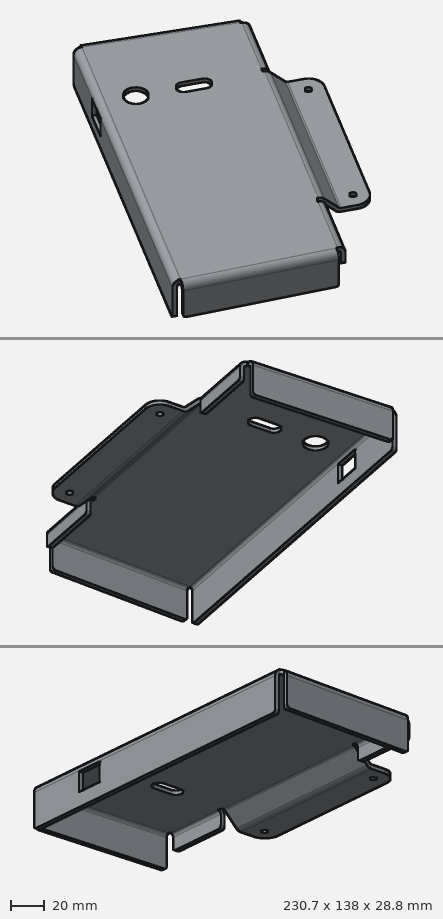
import cadquery as cq
import math

sheet = 3.0
inner_radius = 2.0
outer_radius = inner_radius + sheet

overall_width = 230.7
overall_depth = 138.0
front_height = 28.8

plate_front = outer_radius
plate_back = 102.7
hole_row_x = -59.0
round_hole_diameter = 15.2
round_hole_y = 24.2
slot_width = 9.0
slot_length = 22.0
slot_y = 60.0

splay_angle = 1.8
side_height = 25.8
side_front = 5.3
side_length = 96.7
side_bend_x = overall_width / 2 - outer_radius * math.cos(math.radians(splay_angle))

front_width = 221.5
window_width = 19.0
window_height = 13.4
window_x = -60.0
window_drop = 5.5

back_height = 14.0
back_inner_x = 63.0
back_outer_x = 106.8

tab_width = 120.0
tab_bend_start = 103.8
tab_bend_angle = 45.0
tab_drop = 11.0
tab_corner_radius = 10.0
tab_root_radius = tab_bend_start - plate_back
tab_hole_diameter = 4.2
tab_hole_spacing = 100.0
tab_hole_inset = 10.2

corner_radius = 2.0
corner_web_radius = 1.8


def flange(width, height):
    """Flange centred on x = 0, bent down from a bend line along y = 0 and facing -Y."""
    turn = math.sqrt(0.5)
    body = (
        cq.Workplane("YZ")
        .moveTo(0, 0)
        .threePointArc(
            (-outer_radius * turn, -outer_radius * (1 - turn)),
            (-outer_radius, -outer_radius),
        )
        .lineTo(-outer_radius, -height)
        .lineTo(-inner_radius, -height)
        .lineTo(-inner_radius, -outer_radius)
        .threePointArc(
            (-inner_radius * turn, -outer_radius + inner_radius * turn),
            (0, -sheet),
        )
        .close()
        .extrude(width / 2, both=True)
    )
    return body.faces("<Z").edges("|Y").fillet(corner_radius)


def top_plate():
    slope = math.tan(math.radians(splay_angle))
    front_half = side_bend_x + slope * (side_front - plate_front)
    back_half = side_bend_x - slope * (plate_back - side_front)
    return (
        cq.Workplane("XY")
        .polyline([
            (-front_half, plate_front),
            (front_half, plate_front),
            (back_half, plate_back),
            (-back_half, plate_back),
        ])
        .close()
        .extrude(-sheet)
    )


def left_side_flange(front_extension=0):
    splay = math.radians(splay_angle)
    to_middle = (side_length - front_extension) / 2
    centre = (
        -side_bend_x + to_middle * math.sin(splay),
        side_front + to_middle * math.cos(splay),
        0,
    )
    return (
        flange(side_length + front_extension, side_height)
        .rotate((0, 0, 0), (0, 0, 1), -90 - splay_angle)
        .translate(centre)
    )


def front_flange():
    window = (
        cq.Workplane("XY")
        .box(window_width, 2 * outer_radius, window_height)
        .translate((window_x, 0, -window_drop - window_height / 2))
    )
    return flange(front_width, front_height).translate((0, plate_front, 0)).cut(window)


def left_corner_web():
    """Concave web joining the front and left bends, following the surface of the left bend."""
    turn = math.sqrt(0.5)
    front_end_x = -front_width / 2
    arc_centre_x = front_end_x - corner_web_radius
    arc_centre_y = side_front - corner_web_radius
    prism = (
        cq.Workplane("XY")
        .moveTo(-side_bend_x, arc_centre_y)
        .lineTo(front_end_x, arc_centre_y)
        .threePointArc(
            (arc_centre_x + corner_web_radius * turn, arc_centre_y + corner_web_radius * turn),
            (arc_centre_x, side_front),
        )
        .lineTo(arc_centre_x, side_front + sheet)
        .lineTo(-side_bend_x, side_front + sheet)
        .close()
        .extrude(-outer_radius)
    )
    return prism.intersect(left_side_flange(front_extension=2 * corner_web_radius))


def right_back_flange():
    return (
        flange(back_outer_x - back_inner_x, back_height)
        .rotate((0, 0, 0), (0, 0, 1), 180)
        .translate(((back_inner_x + back_outer_x) / 2, plate_back, 0))
    )


def tab():
    full = math.radians(tab_bend_angle)
    half = full / 2
    bend_drop = (outer_radius + inner_radius) * (1 - math.cos(full))
    web = (tab_drop - bend_drop) / math.sin(full)
    lower_bend_end = (
        tab_bend_start + (outer_radius + inner_radius) * math.sin(full) + web * math.cos(full)
    )

    def upper_bend(radius, angle):
        return (
            tab_bend_start + radius * math.sin(angle),
            -outer_radius + radius * math.cos(angle),
        )

    def lower_bend(radius, angle):
        return (
            lower_bend_end - radius * math.sin(angle),
            -tab_drop + inner_radius - radius * math.cos(angle),
        )

    body = (
        cq.Workplane("YZ")
        .moveTo(plate_back, 0)
        .lineTo(*upper_bend(outer_radius, 0))
        .threePointArc(upper_bend(outer_radius, half), upper_bend(outer_radius, full))
        .lineTo(*lower_bend(inner_radius, full))
        .threePointArc(lower_bend(inner_radius, half), lower_bend(inner_radius, 0))
        .lineTo(overall_depth, -tab_drop)
        .lineTo(overall_depth, -tab_drop - sheet)
        .lineTo(*lower_bend(outer_radius, 0))
        .threePointArc(lower_bend(outer_radius, half), lower_bend(outer_radius, full))
        .lineTo(*upper_bend(inner_radius, full))
        .threePointArc(upper_bend(inner_radius, half), upper_bend(inner_radius, 0))
        .lineTo(plate_back, -sheet)
        .close()
        .extrude(tab_width / 2, both=True)
        .faces(">Y")
        .edges("|Z")
        .fillet(tab_corner_radius)
    )
    hole_y = overall_depth - tab_hole_inset
    holes = (
        cq.Workplane("XY")
        .pushPoints([(side * tab_hole_spacing / 2, hole_y) for side in (-1, 1)])
        .circle(tab_hole_diameter / 2)
        .extrude(-tab_drop - sheet)
    )
    return body.cut(holes)


def plate_openings():
    round_hole = (
        cq.Workplane("XY")
        .center(hole_row_x, round_hole_y)
        .circle(round_hole_diameter / 2)
        .extrude(-sheet)
    )
    slot = (
        cq.Workplane("XY")
        .center(hole_row_x, slot_y)
        .slot2D(slot_length, slot_width, 90)
        .extrude(-sheet)
    )
    return round_hole.union(slot)


left_side = left_side_flange()
left_web = left_corner_web()
right_back = right_back_flange()

result = (
    top_plate()
    .union(front_flange())
    .union(left_side)
    .union(left_side.mirror("YZ"))
    .union(left_web)
    .union(left_web.mirror("YZ"))
    .union(right_back)
    .union(right_back.mirror("YZ"))
    .union(tab())
)

selection_margin = 0.2
tab_root = cq.selectors.BoxSelector(
    (-tab_width / 2 - selection_margin, plate_back - selection_margin, -sheet),
    (tab_width / 2 + selection_margin, plate_back + selection_margin, 0),
)
result = result.edges("|Z").edges(tab_root).fillet(tab_root_radius)

result = result.cut(plate_openings())